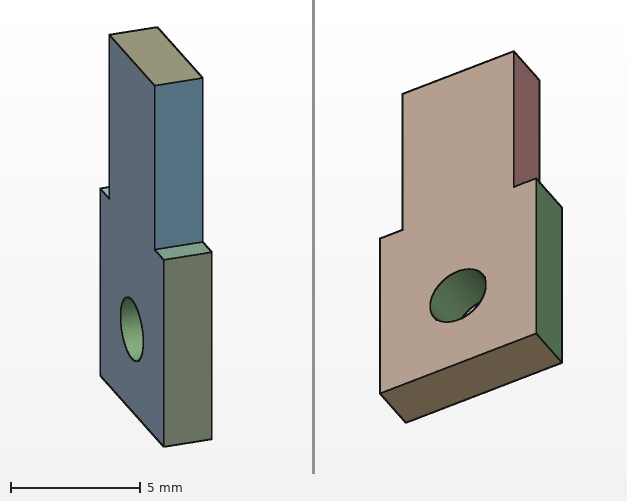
import cadquery as cq

total_height = 15.0
thickness = 2.0
body_width = 7.0
body_height = 8.0
tongue_width = 5.0
hole_diameter = 2.5

hole_height = body_width / 2
tongue_height = total_height - body_height


def upright_plate(width, height, base_height):
    """Plate centred on X and Y, standing on the given height."""
    return (
        cq.Workplane("XY")
        .workplane(offset=base_height)
        .rect(width, thickness)
        .extrude(height)
    )


body = upright_plate(body_width, body_height, 0)
tongue = upright_plate(tongue_width, tongue_height, body_height)

hole = (
    cq.Workplane("XZ", origin=(0, thickness / 2, 0))
    .center(0, hole_height)
    .circle(hole_diameter / 2)
    .extrude(thickness)
)

result = body.union(tongue).cut(hole)